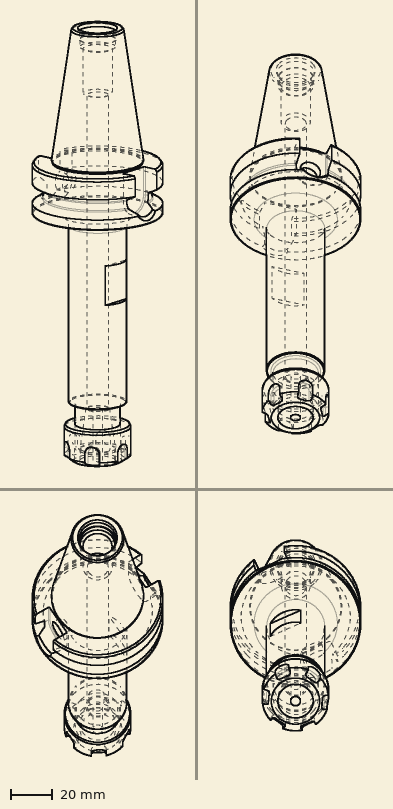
import cadquery as cq

total_length = 215.5

taper_top_radius = 12.7
taper_base_radius = 22.2
taper_base_z = 149.5
taper_edge_width = 0.75
taper_edge_height = 1.0
relief_radius = 21.8
relief_top_z = 149.0

flange_radius = 31.5
flange_top_z = 148.5
flange_edge_width = 0.9
flange_edge_height = 1.3
flange_lower_edge = 0.5
flange_bottom_z = 123.0
groove_radius = 26.3
groove_upper_rim_z = 138.3
groove_upper_floor_z = 135.7
groove_lower_floor_z = 131.2
groove_lower_rim_z = 128.2
groove_fillet = 0.9
flange_fillet = 6.0

shank_radius = 28.0 / 2
shank_bottom_z = 28.9
shank_edge = 0.5
neck_fillet = 1.0
neck_radius = 21.8 / 2
holder_bottom_z = 6.0

mouth_radius = 9.5
mouth_depth = 1.7
counterbore_radius = 17.7 / 2
counterbore_depth = 5.5
pilot_radius = 17.0 / 2
pilot_depth = 9.3
thread_radius = 14.0 / 2
thread_depth = 32.3
bore_cone_height = 0.9
bore_radius = 10.1 / 2

slot_width = 16.2
slot_floor_radius = 22.5
slot_root_fillet = 0.6
slot_centre_z = 134.6
slot_flare = 1.7
chip_hole_diameter = 10.1
chip_hole_depth = 4.5
chip_hole_z = 135.7

flat_distance = 11.5
flat_bottom_z = 80.8
flat_top_z = 100.4

nut_radius = 32.0 / 2
nut_top_z = 18.0
nut_top_radius = 15.5
nut_top_edge = 1.3
nut_nose_radius = 11.6
nut_nose_height = 3.0
nut_slot_count = 6
nut_slot_width = 7.1
nut_slot_root_fillet = 1.0
nut_slot_arc_z = 7.1
nut_slot_floor = 13.0

collet_front_radius = 17.0 / 2
collet_back_radius = 11.5 / 2
collet_back_z = 25.8
collet_bore_radius = 2.4


def revolved(outline):
    """Turn a closed outline of (radius, z) points about the Z axis."""
    return cq.Workplane("XZ").polyline(outline).close().revolve(360, (0, 0, 0), (0, 1, 0))


def holder_outside():
    """Taper, flange, shank and neck as one turned solid."""
    groove_corners = cq.selectors.BoxSelector(
        (-flange_radius, -flange_radius, groove_lower_floor_z - groove_fillet),
        (flange_radius, flange_radius, groove_upper_floor_z + groove_fillet),
    )
    return (
        cq.Workplane("XZ")
        .moveTo(0, total_length)
        .lineTo(taper_top_radius - taper_edge_width, total_length)
        .lineTo(taper_top_radius, total_length - taper_edge_height)
        .lineTo(taper_base_radius, taper_base_z)
        .lineTo(relief_radius, relief_top_z)
        .lineTo(relief_radius, flange_top_z)
        .lineTo(flange_radius - flange_edge_width, flange_top_z)
        .lineTo(flange_radius, flange_top_z - flange_edge_height)
        .lineTo(flange_radius, groove_upper_rim_z)
        .lineTo(groove_radius, groove_upper_floor_z)
        .lineTo(groove_radius, groove_lower_floor_z)
        .lineTo(flange_radius, groove_lower_rim_z)
        .lineTo(flange_radius, flange_bottom_z + flange_lower_edge)
        .lineTo(flange_radius - flange_lower_edge, flange_bottom_z)
        .lineTo(shank_radius + flange_fillet, flange_bottom_z)
        .radiusArc((shank_radius, flange_bottom_z - flange_fillet), -flange_fillet)
        .lineTo(shank_radius, shank_bottom_z + shank_edge)
        .lineTo(shank_radius - shank_edge, shank_bottom_z)
        .lineTo(neck_radius + neck_fillet, shank_bottom_z)
        .radiusArc((neck_radius, shank_bottom_z - neck_fillet), -neck_fillet)
        .lineTo(neck_radius, holder_bottom_z)
        .lineTo(0, holder_bottom_z)
        .close()
        .revolve(360, (0, 0, 0), (0, 1, 0))
        .edges(groove_corners)
        .fillet(groove_fillet)
    )


def holder_bore():
    """Stepped bore from the taper end down to the collet."""
    return revolved([
        (0, total_length),
        (mouth_radius, total_length),
        (counterbore_radius, total_length - mouth_depth),
        (counterbore_radius, total_length - counterbore_depth),
        (pilot_radius, total_length - counterbore_depth),
        (pilot_radius, total_length - pilot_depth),
        (thread_radius, total_length - pilot_depth - bore_cone_height),
        (thread_radius, total_length - thread_depth),
        (bore_radius, total_length - thread_depth - bore_cone_height),
        (bore_radius, holder_bottom_z),
        (0, holder_bottom_z),
    ])


def collet_seat():
    """Tapered seat in the lower end of the holder."""
    return revolved([
        (0, holder_bottom_z),
        (collet_front_radius, holder_bottom_z),
        (collet_back_radius, collet_back_z),
        (0, collet_back_z),
    ])


def drive_slot():
    """Round-ended slot on the +X side of the flange, flared at the rim."""
    slot_radius = slot_width / 2
    slot_height = total_length - slot_centre_z
    wall = cq.Workplane("YZ", origin=(slot_floor_radius, 0, slot_centre_z))
    round_end = wall.circle(slot_radius).extrude(flange_radius)
    straight = (
        wall.center(0, slot_height / 2)
        .rect(slot_width, slot_height)
        .extrude(flange_radius)
    )
    rim = cq.Workplane("YZ", origin=(flange_radius - slot_flare, 0, slot_centre_z))
    flare = (
        rim.circle(slot_radius)
        .workplane(offset=slot_flare)
        .circle(slot_radius + slot_flare)
        .loft()
    )
    flare_size = 2 * (slot_radius + slot_flare)
    lower_half = cq.Workplane("XY", origin=(flange_radius, 0, slot_centre_z)).box(
        flare_size, flare_size, flare_size, centered=(True, True, False)
    ).translate((0, 0, -flare_size))
    channel = round_end.union(straight).faces("<X").edges().fillet(slot_root_fillet)
    return channel.union(flare.intersect(lower_half))


def chip_hole():
    """Blind round hole in the wall of the -X drive slot."""
    return (
        cq.Workplane("YZ", origin=(-slot_floor_radius, 0, chip_hole_z))
        .circle(chip_hole_diameter / 2)
        .extrude(chip_hole_depth)
    )


def shank_flat():
    """Block that cuts the flat on the +X side of the shank."""
    return cq.Workplane("XY", origin=(flat_distance, 0, flat_bottom_z)).box(
        shank_radius, 2 * shank_radius, flat_top_z - flat_bottom_z, centered=(False, True, False)
    )


def holder_body():
    """Tool holder with its bore, drive slots, chip hole and shank flat."""
    body = holder_outside().cut(holder_bore()).cut(collet_seat())
    for angle in (0, 180):
        body = body.cut(drive_slot().rotate((0, 0, 0), (0, 0, 1), angle))
    return body.cut(chip_hole()).cut(shank_flat())


def nut_slot():
    """Spanner slot on the +X side of the nut, open at the bottom."""
    height = 2 * nut_slot_arc_z
    wall = cq.Workplane("YZ", origin=(nut_slot_floor, 0, nut_slot_arc_z))
    round_end = wall.circle(nut_slot_width / 2).extrude(nut_radius)
    straight = (
        wall.center(0, -height / 2)
        .rect(nut_slot_width, height)
        .extrude(nut_radius)
    )
    return round_end.union(straight).faces("<X").edges().fillet(nut_slot_root_fillet)


def nut_body():
    """Clamping nut around the neck of the holder and the nose of the collet."""
    nut = revolved([
        (collet_front_radius, 0),
        (nut_nose_radius, 0),
        (nut_radius, nut_nose_height),
        (nut_radius, nut_top_z - nut_top_edge),
        (nut_top_radius, nut_top_z),
        (neck_radius, nut_top_z),
        (neck_radius, holder_bottom_z),
        (collet_front_radius, holder_bottom_z),
    ])
    for index in range(nut_slot_count):
        angle = index * 360 / nut_slot_count
        nut = nut.cut(nut_slot().rotate((0, 0, 0), (0, 0, 1), angle))
    return nut


def collet_body():
    """Tapered collet in the holder with a straight nose that fills the nut opening."""
    return revolved([
        (collet_bore_radius, 0),
        (collet_front_radius, 0),
        (collet_front_radius, holder_bottom_z),
        (collet_back_radius, collet_back_z),
        (collet_bore_radius, collet_back_z),
    ])


holder = holder_body().solids().val()
nut = nut_body().solids().val()
collet = collet_body().solids().val()

result = cq.Compound.makeCompound([holder, nut, collet])